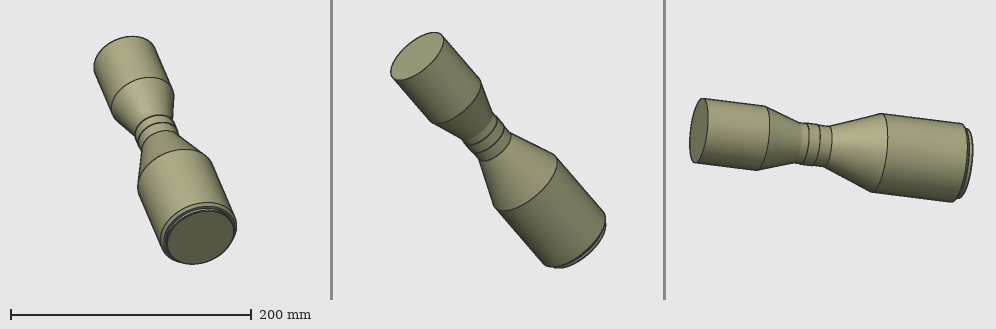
import cadquery as cq

length = 229.0
body_radius = 33.0
handle_radius = 27.0
neck_radius = 17.0
band_radius = 17.5
lip_radius = 29.3

handle_end = 53.4
neck_start = 84.3
band_start = 90.5
band_width = 9.6
neck_end = 110.4
body_start = 154.0

lip_width = 4.0
body_chamfer = 2.3
lip_chamfer = 0.7

band_end = band_start + band_width
lip_start = length - lip_width
chamfer_start = lip_start - body_chamfer

profile = [
    (0, 0),
    (0, handle_radius),
    (handle_end, handle_radius),
    (neck_start, neck_radius),
    (band_start, neck_radius),
    (band_start, band_radius),
    (band_end, band_radius),
    (band_end, neck_radius),
    (neck_end, neck_radius),
    (body_start, body_radius),
    (chamfer_start, body_radius),
    (lip_start, body_radius - body_chamfer),
    (lip_start, lip_radius - lip_chamfer),
    (lip_start + lip_chamfer, lip_radius),
    (length - lip_chamfer, lip_radius),
    (length, lip_radius - lip_chamfer),
    (length, 0),
]

result = cq.Workplane("XZ").polyline(profile).close().revolve(360, (0, 0, 0), (1, 0, 0))